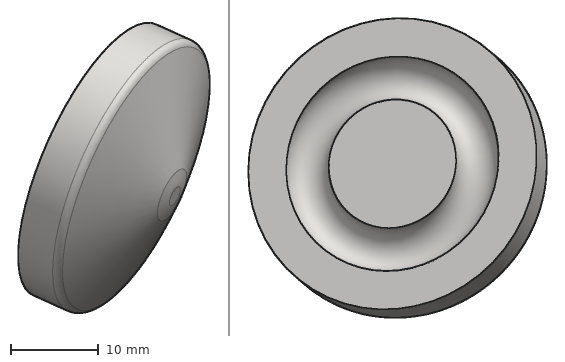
import cadquery as cq
import math

outer_radius = 17.0
total_length = 10.65

rim_fillet = 1.0
nose_fillet = 6.0

cone_angle = 20.0
nose_radius = 2.25
cone_length = (outer_radius - nose_radius) * math.tan(math.radians(cone_angle))
rim_length = total_length - cone_length

groove_outer_radius = 12.5
groove_inner_radius = 7.5
groove_section_radius = (groove_outer_radius - groove_inner_radius) / 2
groove_center_radius = (groove_outer_radius + groove_inner_radius) / 2


def make_body():
    """Revolve the half outline, then round the rim and nose edges."""
    body = (
        cq.Workplane("XY")
        .polyline([
            (0, 0),
            (0, outer_radius),
            (rim_length, outer_radius),
            (total_length, nose_radius),
            (total_length, 0),
        ])
        .close()
        .revolve(360, (0, 0, 0), (1, 0, 0))
    )
    body = body.faces("%CONE").edges("%CIRCLE").edges("<X").fillet(rim_fillet)
    return body.faces(">X").edges("%CIRCLE").fillet(nose_fillet)


def make_groove():
    """Ring of circular section centred on the back face."""
    return cq.Workplane("XY").add(
        cq.Solid.makeTorus(
            groove_center_radius,
            groove_section_radius,
            pnt=cq.Vector(0, 0, 0),
            dir=cq.Vector(1, 0, 0),
        )
    )


result = make_body().cut(make_groove())